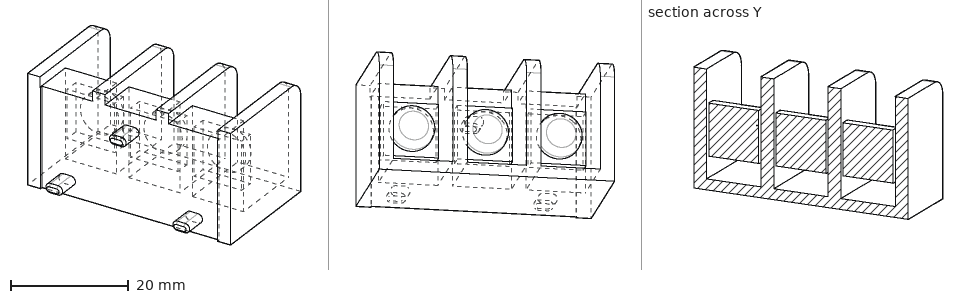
import cadquery as cq


width = 40.65
barrier_depth = 22.6
barrier_height = 21.6
pole_count = 3
pole_pitch = 12.7

end_barrier = 2.48
inner_barrier = 2.5
barrier_corner_radius = 3.1

top_step = 2.0
body_height = barrier_height - top_step
terminal_face_y = 8.13
floor_thickness = 2.05
recess_depth = 0.5
recess_side_margin = 2.6
recess_width = width - 2 * recess_side_margin

plate_side = 9.5
plate_thickness = 2.8
screw_diameter = 7.7
screw_height = 2.55
screw_rounding = 1.3
screw_z = (floor_thickness + body_height) / 2

pin_width = 3.35
pin_thickness = 1.83
pin_length = 4.05
pin_chamfer = 0.45
outer_pin_z = 3.0
middle_pin_z = 16.0


def block(x_size, y_size, z_size):
    """Box centred on X, with its front at Y = 0 and its underside at Z = 0."""
    return cq.Workplane("XY").box(x_size, y_size, z_size, centered=(True, False, False))


def barrier(thickness, x):
    """Upright wall whose upper rear corner is rounded."""
    wall = block(thickness, barrier_depth, barrier_height)
    wall = wall.edges(">Y and >Z").fillet(barrier_corner_radius)
    return wall.translate((x, 0, 0))


def plane_facing(direction, x, y, z):
    """Workplane through a point, facing along +Y (1) or -Y (-1)."""
    return cq.Workplane(cq.Plane(origin=(x, y, z), xDir=(1, 0, 0), normal=(0, direction, 0)))


def terminal(x):
    """Square clamp plate with a rounded screw head on it."""
    plate = plane_facing(1, x, terminal_face_y, screw_z).rect(plate_side, plate_side).extrude(plate_thickness)
    head = plane_facing(1, x, terminal_face_y + plate_thickness, screw_z)
    head = head.circle(screw_diameter / 2).extrude(screw_height)
    return plate.union(head.faces(">Y").edges().fillet(screw_rounding))


def solder_pin(x, z):
    """Oval pin running from the recessed front face to the chamfered tip."""
    pin = plane_facing(-1, x, recess_depth, z).slot2D(pin_width, pin_thickness)
    pin = pin.extrude(recess_depth + pin_length)
    return pin.faces("<Y").edges().chamfer(pin_chamfer)


result = block(width, terminal_face_y, body_height)
result = result.union(block(width, barrier_depth, floor_thickness))

for side in (-1, 1):
    result = result.union(barrier(end_barrier, side * (width - end_barrier) / 2))
for gap in range(1, pole_count):
    result = result.union(barrier(inner_barrier, (gap - pole_count / 2) * pole_pitch))

result = result.cut(block(recess_width, recess_depth, barrier_height))

for pole in range(pole_count):
    offset = pole - (pole_count - 1) / 2
    pole_x = offset * pole_pitch
    pin_z = middle_pin_z if offset == 0 else outer_pin_z
    result = result.union(terminal(pole_x))
    result = result.union(solder_pin(pole_x, pin_z))